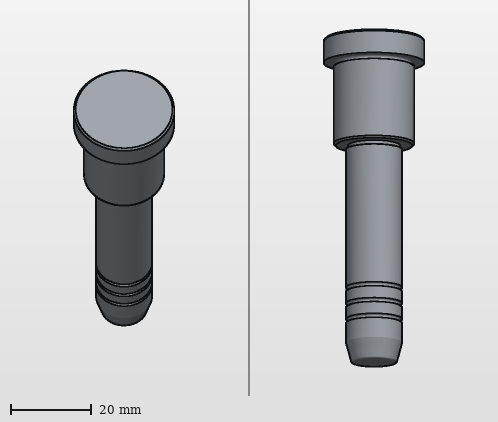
import cadquery as cq
import math

total_length = 82.0
edge_break = 0.5

head_diameter = 25.0
head_height = 6.0

collar_diameter = 20.0
collar_length = 21.0

shank_diameter = 14.0
neck_diameter = 13.0
neck_length = 1.0

groove_radius = 0.5
groove_count = 3
groove_pitch = 4.0
lowest_groove_height = 10.5

taper_length = 5.0
taper_angle = 15.0
tip_round = 0.5

head_bottom = total_length - head_height
collar_bottom = head_bottom - collar_length
neck_bottom = collar_bottom - neck_length
taper_end_diameter = shank_diameter - 2 * taper_length * math.tan(math.radians(taper_angle))


def cylinder(diameter, bottom, top):
    return cq.Workplane("XY").workplane(offset=bottom).circle(diameter / 2).extrude(top - bottom)


def make_head():
    head = cylinder(head_diameter, head_bottom, total_length)
    return head.faces(">Z").edges().chamfer(edge_break)


def make_groove(diameter, height):
    """Half-round ring to cut from a cylinder of the given diameter, centred at the given height."""
    ring = cq.Solid.makeTorus(diameter / 2, groove_radius, cq.Vector(0, 0, height), cq.Vector(0, 0, 1))
    return cq.Workplane("XY").add(ring)


def make_collar():
    """Collar with a chamfered lower edge and a half-round undercut right below the head."""
    collar = cylinder(collar_diameter, collar_bottom, head_bottom)
    collar = collar.faces("<Z").edges().chamfer(edge_break)
    return collar.cut(make_groove(collar_diameter, head_bottom - groove_radius))


def make_shank():
    shank = cylinder(shank_diameter, taper_length, neck_bottom)
    for index in range(groove_count):
        height = lowest_groove_height + index * groove_pitch
        shank = shank.cut(make_groove(shank_diameter, height))
    neck = cylinder(neck_diameter, neck_bottom, collar_bottom)
    return shank.union(neck)


def make_tip():
    """Conical lead-in with a rounded end edge."""
    taper = (
        cq.Workplane("XY")
        .circle(taper_end_diameter / 2)
        .workplane(offset=taper_length)
        .circle(shank_diameter / 2)
        .loft()
    )
    return taper.faces("<Z").edges().fillet(tip_round)


pin = make_head().union(make_collar()).union(make_shank()).union(make_tip())
result = cq.Workplane("XY").newObject([pin.solids().val()])